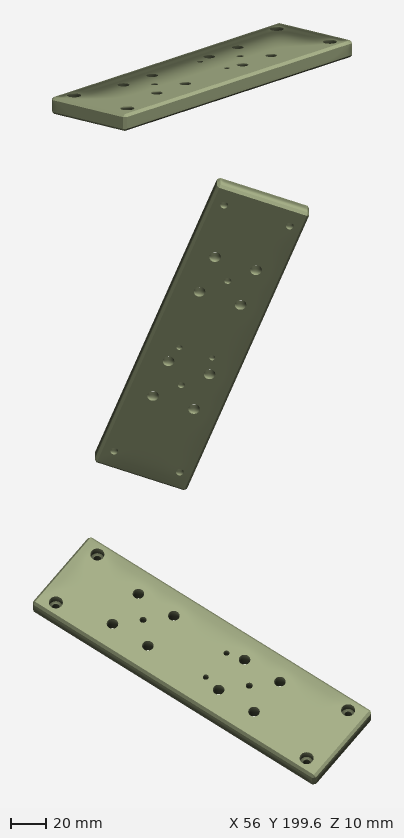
import cadquery as cq

width = 56.0
length = 199.6
thickness = 10.0
edge_chamfer = 1.5

mount_x = 20.0
mount_y = 88.5
mount_diameter = 4.4
counterbore_diameter = 8.0
counterbore_depth = 5.0

bolt_spacing = 25.0
bolt_diameter = 6.5
pin_diameter = 4.0
pattern_pitch = 3 * bolt_spacing
upper_pattern_y = 33.3
pattern_centres = [(0, upper_pattern_y), (0, upper_pattern_y - pattern_pitch)]

small_diameter = 3.4
small_x = 10.0
small_y = 10.0


def drill(plate, points, diameter):
    """Cut through holes at points measured from the plate centre."""
    return plate.faces(">Z").workplane(origin=(0, 0, 0)).pushPoints(points).hole(diameter)


plate = cq.Workplane("XY").box(width, length, thickness).edges().chamfer(edge_chamfer)

plate = (
    plate.faces(">Z")
    .workplane(origin=(0, 0, 0))
    .rect(2 * mount_x, 2 * mount_y, forConstruction=True)
    .vertices()
    .cboreHole(mount_diameter, counterbore_diameter, counterbore_depth)
)

half_spacing = bolt_spacing / 2
for centre_x, centre_y in pattern_centres:
    bolt_points = [
        (centre_x + side_x * half_spacing, centre_y + side_y * half_spacing)
        for side_x in (-1, 1)
        for side_y in (-1, 1)
    ]
    plate = drill(plate, bolt_points, bolt_diameter)
plate = drill(plate, pattern_centres, pin_diameter)

plate = drill(plate, [(-small_x, small_y), (small_x, small_y)], small_diameter)

result = plate